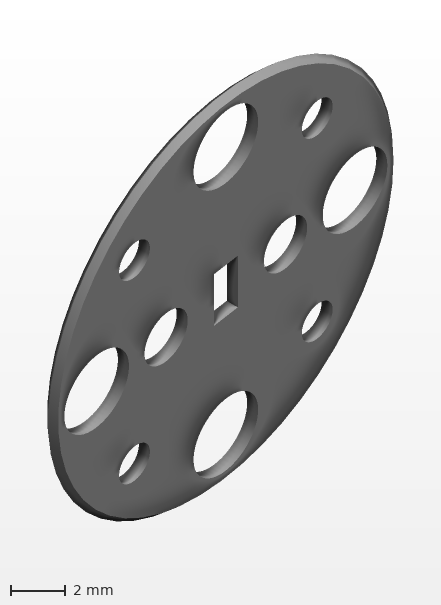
import cadquery as cq
import math

disc_diameter = 19.05
thickness = 0.5334
rim_chamfer = 0.254

bolt_circle_radius = 7.144
large_hole_diameter = 3.572
small_hole_diameter = 1.702
holes_per_set = 4
small_hole_start_angle = 45

medium_hole_diameter = 2.388
medium_hole_offset = 3.302

slot_width_y = 1.32
slot_height_z = 2.565


def make_disc():
    """Disc with a rim bevelled from both faces, revolved about the X axis."""
    rim_radius = disc_diameter / 2
    face_radius = rim_radius - rim_chamfer
    half = thickness / 2
    half_land = half - rim_chamfer
    profile = (
        cq.Workplane("XY")
        .moveTo(-half, 0)
        .lineTo(-half, face_radius)
        .lineTo(-half_land, rim_radius)
        .lineTo(half_land, rim_radius)
        .lineTo(half, face_radius)
        .lineTo(half, 0)
        .close()
    )
    return profile.revolve(360, (0, 0, 0), (1, 0, 0))


def face_plane():
    """Workplane on the -X face; local axes are Y and Z."""
    return cq.Workplane("YZ", origin=(-thickness / 2, 0, 0))


def make_holes(points, diameter):
    return face_plane().pushPoints(points).circle(diameter / 2).extrude(thickness)


def bolt_circle_points(start_angle):
    points = []
    for index in range(holes_per_set):
        angle = math.radians(start_angle + index * 360 / holes_per_set)
        points.append((bolt_circle_radius * math.cos(angle), bolt_circle_radius * math.sin(angle)))
    return points


def make_slot():
    return face_plane().rect(slot_width_y, slot_height_z).extrude(thickness)


medium_hole_points = [(-medium_hole_offset, 0), (medium_hole_offset, 0)]

result = (
    make_disc()
    .cut(make_holes(bolt_circle_points(0), large_hole_diameter))
    .cut(make_holes(bolt_circle_points(small_hole_start_angle), small_hole_diameter))
    .cut(make_holes(medium_hole_points, medium_hole_diameter))
    .cut(make_slot())
)